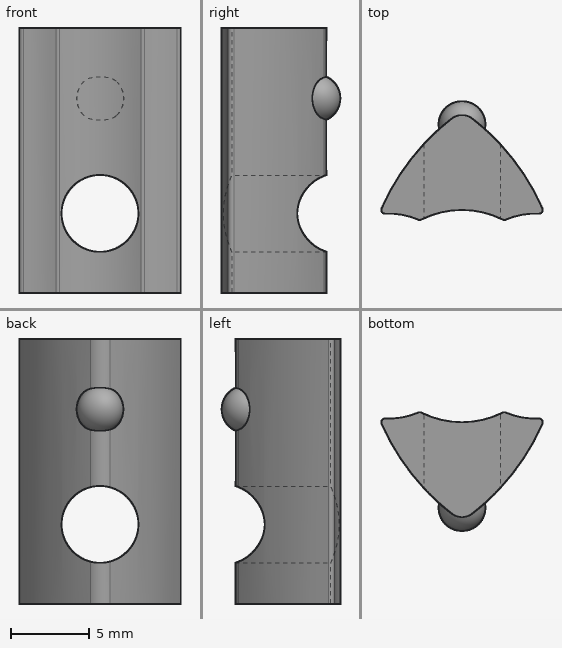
import cadquery as cq
import math

length = 17.0
half_width = 5.176
ridge_y = 6.73

ridge_half_width = 0.61
ridge_edge_y = 6.55
flank_mid = (3.25, 3.95)

tip_radius = 0.25
tip_bottom_y = 0.4
tip_start_angle = 27.0
tip_mid_angle = -30.0
tip_end_angle = -90.0

lip_outer = (2.82, 0.03)
lip_x = 2.72
lip_inner = (2.6, 0.03)
outer_hollow_mid = (3.86, 0.34)
center_hollow_y = 0.65

hole_diameter = 4.91
hole_z = 5.12
ball_radius = 1.51
ball_top_y = 7.63
ball_z = 12.5


def mirrored(point):
    """Reflect a section point across the YZ plane."""
    return (-point[0], point[1])


def tip_point(angle):
    """Point on the right-hand tip round at an angle in degrees from +X."""
    turn = math.radians(angle)
    center_x = half_width - tip_radius
    center_y = tip_bottom_y + tip_radius
    return (center_x + tip_radius * math.cos(turn), center_y + tip_radius * math.sin(turn))


def make_body():
    ridge_edge = (ridge_half_width, ridge_edge_y)
    flank_end = tip_point(tip_start_angle)
    tip_mid = tip_point(tip_mid_angle)
    tip_end = tip_point(tip_end_angle)
    lip_tip = (lip_x, 0)
    section = (
        cq.Workplane("XY")
        .moveTo(*mirrored(ridge_edge))
        .threePointArc((0, ridge_y), ridge_edge)
        .threePointArc(flank_mid, flank_end)
        .threePointArc(tip_mid, tip_end)
        .threePointArc(outer_hollow_mid, lip_outer)
        .threePointArc(lip_tip, lip_inner)
        .threePointArc((0, center_hollow_y), mirrored(lip_inner))
        .threePointArc(mirrored(lip_tip), mirrored(lip_outer))
        .threePointArc(mirrored(outer_hollow_mid), mirrored(tip_end))
        .threePointArc(mirrored(tip_mid), mirrored(flank_end))
        .threePointArc(mirrored(flank_mid), mirrored(ridge_edge))
        .close()
    )
    return section.extrude(length)


def make_hole():
    """Cylinder along Y that passes right through the body."""
    return (
        cq.Workplane("XZ")
        .center(0, hole_z)
        .circle(hole_diameter / 2)
        .extrude(ridge_y, both=True)
    )


def make_ball():
    """Ball seated in the ridge."""
    ball_center = (0, ball_top_y - ball_radius, ball_z)
    return cq.Workplane("XY").sphere(ball_radius).translate(ball_center)


result = make_body().cut(make_hole()).union(make_ball())